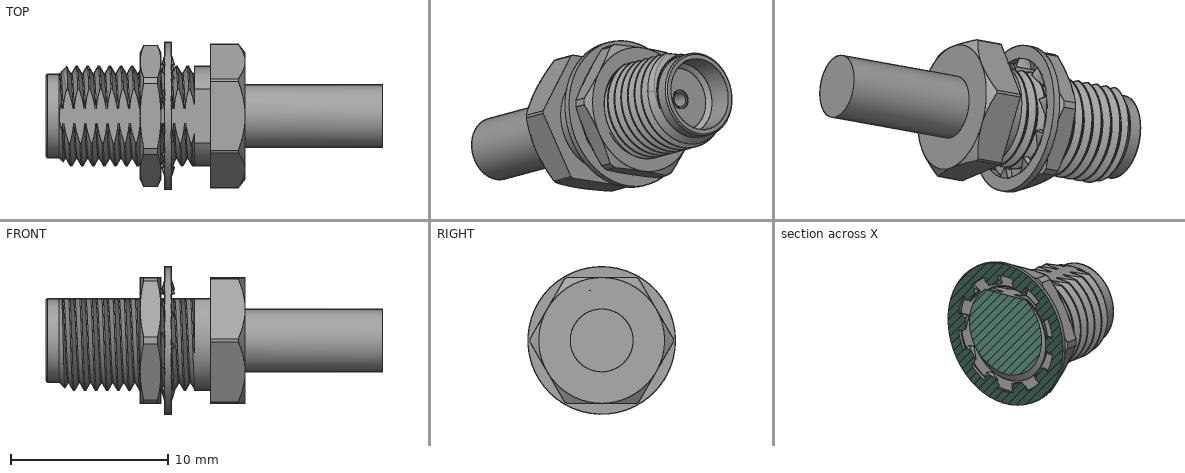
import cadquery as cq
import math


thread_start = 0.85
nut_start = 6.0
nut_length = 1.32
washer_start = 7.56
washer_thickness = 0.43
collar_start = 9.44
hex_start = 10.46
hex_end = 12.68
overall_length = 21.42

thread_radius = 6.35 / 2
root_radius = 2.71
pitch = 25.4 / 36
crest_width = pitch / 8
half_angle = math.radians(30)
helix_start = 0.02
groove_overrun = 0.05

nose_radius = 5.33 / 2
nose_chamfer = 0.1
cable_tube_radius = 4.0 / 2
flat_height = nose_radius
bore_radius = 4.57 / 2
bore_depth = 2.0
insulator_radius = 4.0 / 2
contact_radius = 1.19 / 2
contact_recess = 0.1
socket_radius = 0.94 / 2
socket_depth = 2.0

hex_half_flats = 4.0
hex_corner_radius = 4.57
hex_chamfer_length = 0.44
nut_corner_radius = 4.5
nut_chamfer_length = 0.22
nut_countersink_radius = 3.08

washer_radius = 9.4 / 2
washer_inner_radius = 3.85
tooth_count = 10
tooth_tip_radius = 3.25
tooth_root_overlap = 0.15
tooth_width = 1.15
tooth_thickness = 0.35
tooth_twist = 26.0


def cylinder(start, end, radius):
    return cq.Workplane("YZ", origin=(start, 0, 0)).circle(radius).extrude(end - start)


def revolve_about_x(points):
    """Turn a closed (x, radius) outline about the X axis."""
    return cq.Workplane("XY").polyline(points).close().revolve(360, (0, 0, 0), (1, 0, 0))


def hex_prism(start, end):
    """Hexagon with two flats facing +Z and -Z."""
    corner_diameter = 2 * hex_half_flats / math.cos(math.radians(30))
    return cq.Workplane("YZ", origin=(start, 0, 0)).polygon(6, corner_diameter).extrude(end - start)


def helical_groove():
    """Groove tool: a V with a narrow flat root, bounded by ruled faces between helices about X."""
    outer_radius = thread_radius + groove_overrun
    crest_half = (pitch - crest_width) / 2
    outer_half = crest_half + groove_overrun * math.tan(half_angle)
    root_half = crest_half - (thread_radius - root_radius) * math.tan(half_angle)
    length = pitch * math.ceil(collar_start / pitch + 1)

    corners = [
        (root_radius, -root_half),
        (outer_radius, -outer_half),
        (outer_radius, outer_half),
        (root_radius, root_half),
    ]
    helices = [
        cq.Wire.makeHelix(pitch, length, radius).translate(cq.Vector(0, 0, offset))
        for radius, offset in corners
    ]
    faces = []
    for first, second in zip(helices, helices[1:] + helices[:1]):
        faces += cq.Face.makeRuledSurface(first, second).Faces()
    for end in (0, 1):
        outline = cq.Wire.makePolygon([helix.positionAt(end) for helix in helices], close=True)
        faces.append(cq.Face.makeFromWires(outline))
    groove = cq.Workplane(cq.Solid.makeSolid(cq.Shell.makeShell(faces)))
    return groove.rotate((0, 0, 0), (0, 1, 0), 90).translate((helix_start, 0, 0))


def threaded_rod():
    lead_in = thread_radius - nose_radius
    blank = revolve_about_x([
        (thread_start, 0),
        (thread_start, nose_radius),
        (thread_start + lead_in, thread_radius),
        (collar_start, thread_radius),
        (collar_start, 0),
    ])
    return blank.cut(helical_groove())


def make_body(rod):
    nose = cylinder(0, thread_start, nose_radius).faces("<X").chamfer(nose_chamfer)
    collar = cylinder(collar_start, hex_start, thread_radius)
    above_flat = (
        cq.Workplane("XY", origin=(0, 0, flat_height))
        .box(hex_start, 2 * thread_radius, thread_radius, centered=(False, True, False))
    )
    barrel = rod.union(nose).union(collar).cut(above_flat)

    hex_rounding = revolve_about_x([
        (hex_start, 0),
        (hex_start, hex_corner_radius),
        (hex_end - hex_chamfer_length, hex_corner_radius),
        (hex_end, hex_half_flats),
        (hex_end, 0),
    ])
    hexagon = hex_prism(hex_start, hex_end).intersect(hex_rounding)
    cable_tube = cylinder(hex_end, overall_length, cable_tube_radius)

    bore = revolve_about_x([
        (0, 0),
        (0, bore_radius),
        (bore_depth - (bore_radius - insulator_radius), bore_radius),
        (bore_depth, insulator_radius),
        (bore_depth, contact_radius),
        (bore_depth + contact_recess, contact_radius),
        (bore_depth + contact_recess, socket_radius),
        (bore_depth + socket_depth, socket_radius),
        (bore_depth + socket_depth, 0),
    ])
    return barrel.union(hexagon).union(cable_tube).cut(bore)


def make_nut(rod):
    """Hex nut chamfered on both faces; its internal thread matches the rod and is countersunk."""
    nut_end = nut_start + nut_length
    rounding = revolve_about_x([
        (nut_start, 0),
        (nut_start, hex_half_flats),
        (nut_start + nut_chamfer_length, nut_corner_radius),
        (nut_end - nut_chamfer_length, nut_corner_radius),
        (nut_end, hex_half_flats),
        (nut_end, 0),
    ])
    nut = hex_prism(nut_start, nut_end).intersect(rounding).cut(rod)
    countersink_depth = nut_countersink_radius - root_radius
    for face, inward in ((nut_start, 1), (nut_end, -1)):
        countersink = revolve_about_x([
            (face, 0),
            (face, nut_countersink_radius),
            (face + inward * countersink_depth, root_radius),
            (face + inward * countersink_depth, 0),
        ])
        nut = nut.cut(countersink)
    return nut


def make_washer():
    """Flat ring with inward teeth, each twisted more and more toward its tip."""
    middle = washer_start + washer_thickness / 2
    ring = cylinder(washer_start, washer_start + washer_thickness, washer_radius)
    ring = ring.cut(cylinder(washer_start, washer_start + washer_thickness, washer_inner_radius))
    tooth_root_radius = washer_inner_radius + tooth_root_overlap
    tooth = (
        cq.Workplane("XZ", origin=(middle, -tooth_root_radius, 0))
        .rect(tooth_thickness, tooth_width)
        .workplane(offset=tooth_tip_radius - tooth_root_radius)
        .transformed(rotate=(0, 0, tooth_twist))
        .rect(tooth_thickness, tooth_width)
        .loft(ruled=True)
    )
    for index in range(tooth_count):
        ring = ring.union(tooth.rotate((0, 0, 0), (1, 0, 0), index * 360 / tooth_count))
    return ring


rod = threaded_rod()
body = make_body(rod)
nut = make_nut(rod)
washer = make_washer()

bodies = [body, nut, washer]
result = cq.Compound.makeCompound([part.solids().val() for part in bodies])